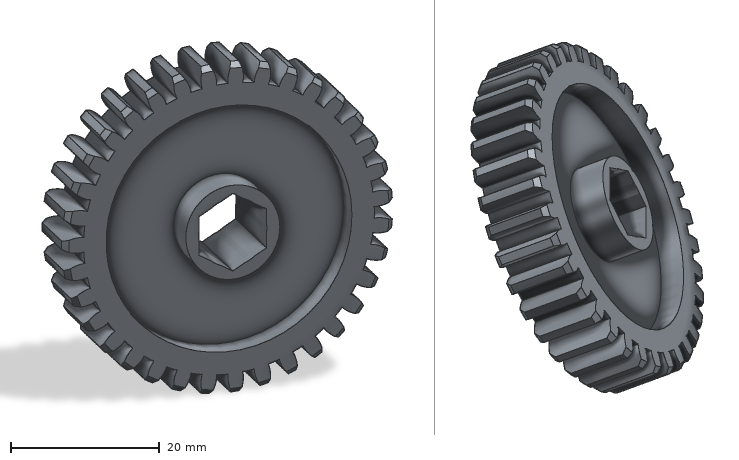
import cadquery as cq
import math

TOOTH_COUNT = 35
TIP_DIAMETER = 47.0
PRESSURE_ANGLE = math.radians(14.5)
DEDENDUM_FACTOR = 1.25
FACE_WIDTH = 9.55
TIP_CHAMFER = 0.75

HUB_DIAMETER = 13.35
HUB_LENGTH = 12.7
HEX_ACROSS_FLATS = 9.55
ROUND_BORE_DIAMETER = 9.7

RECESS_DIAMETER = 34.9
RECESS_DEPTH = 3.5

FLANK_POINTS = 4

MODULE = TIP_DIAMETER / (TOOTH_COUNT + 2)
TIP_RADIUS = TIP_DIAMETER / 2
PITCH_RADIUS = MODULE * TOOTH_COUNT / 2
ROOT_RADIUS = PITCH_RADIUS - DEDENDUM_FACTOR * MODULE
BASE_RADIUS = PITCH_RADIUS * math.cos(PRESSURE_ANGLE)
TOOTH_PITCH = 2 * math.pi / TOOTH_COUNT
FIRST_TOOTH_ANGLE = math.pi


def involute(angle):
    return math.tan(angle) - angle


def half_tooth_angle(radius):
    """Half the angle a tooth spans at a radius; the flank is radial below the base circle."""
    flank_angle = math.acos(min(1.0, BASE_RADIUS / radius))
    return TOOTH_PITCH / 4 + involute(PRESSURE_ANGLE) - involute(flank_angle)


def polar(radius, angle):
    return radius * math.cos(angle), radius * math.sin(angle)


def flank(tooth_angle, side):
    """Flank points from root to tip; side is -1 or +1."""
    step = (TIP_RADIUS - ROOT_RADIUS) / (FLANK_POINTS - 1)
    radii = [ROOT_RADIUS + i * step for i in range(FLANK_POINTS)]
    return [polar(r, tooth_angle + side * half_tooth_angle(r)) for r in radii]


def centred_sketch(length):
    """YZ workplane from which an extrusion of this length is centred on X = 0."""
    return cq.Workplane("YZ", origin=(-length / 2, 0, 0))


def cylinder(diameter, length):
    return centred_sketch(length).circle(diameter / 2).extrude(length)


def toothed_disc():
    """Disc with involute flanks joined by arcs at the tips and roots."""
    start = flank(FIRST_TOOTH_ANGLE, -1)[0]
    outline = centred_sketch(FACE_WIDTH).moveTo(*start)
    for i in range(TOOTH_COUNT):
        angle = FIRST_TOOTH_ANGLE + i * TOOTH_PITCH
        rising = flank(angle, -1)
        falling = flank(angle, 1)[::-1]
        next_start = flank(angle + TOOTH_PITCH, -1)[0]
        outline = (
            outline.spline(rising[1:], includeCurrent=True)
            .threePointArc(polar(TIP_RADIUS, angle), falling[0])
            .spline(falling[1:], includeCurrent=True)
            .threePointArc(polar(ROOT_RADIUS, angle + TOOTH_PITCH / 2), next_start)
        )
    return outline.close().extrude(FACE_WIDTH)


def toothed_rim():
    """Toothed disc with its tooth ends bevelled at both faces."""
    envelope = cylinder(TIP_DIAMETER, FACE_WIDTH).faces("<X or >X").chamfer(TIP_CHAMFER)
    return toothed_disc().intersect(envelope)


def web_recesses():
    """Round recesses that leave a thin web midway between the two faces."""
    web_thickness = FACE_WIDTH - 2 * RECESS_DEPTH
    return cylinder(RECESS_DIAMETER, FACE_WIDTH).cut(cylinder(RECESS_DIAMETER, web_thickness))


def hex_bore():
    """Through bore with flats facing +Y and -Y, each flat relieved by a shallow round groove."""
    across_corners = HEX_ACROSS_FLATS / math.cos(math.pi / 6)
    hexagon = centred_sketch(HUB_LENGTH).polygon(6, across_corners).extrude(HUB_LENGTH)
    hexagon = hexagon.rotate((0, 0, 0), (1, 0, 0), 30)
    return hexagon.union(cylinder(ROUND_BORE_DIAMETER, HUB_LENGTH))


hub = cylinder(HUB_DIAMETER, HUB_LENGTH)
result = toothed_rim().cut(web_recesses()).union(hub).cut(hex_bore())